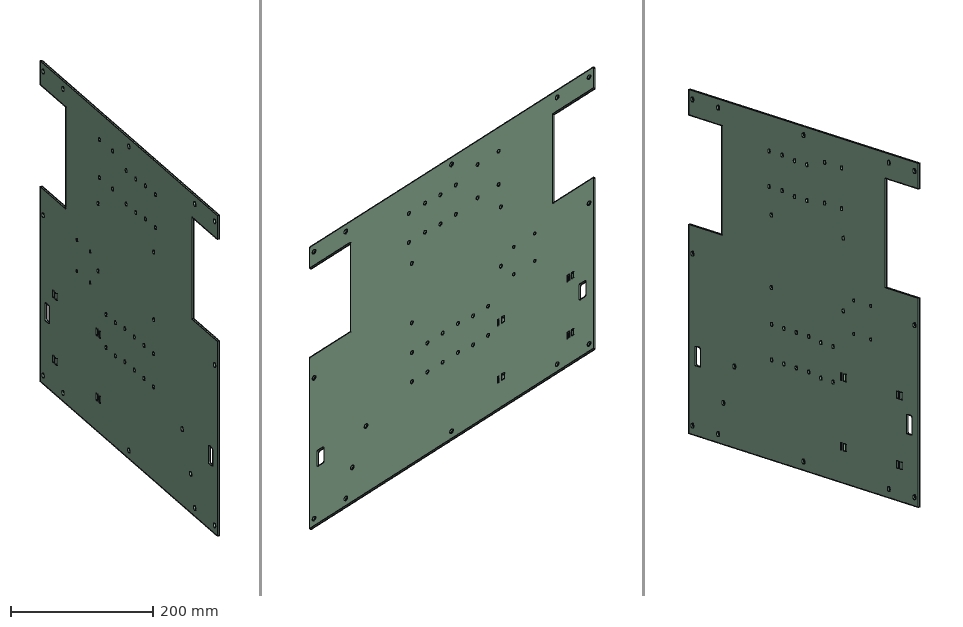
import cadquery as cq

width = 580.5
height = 495.0
thickness = 3.2

notch_depth = 83.5
notch_top = 210.5
notch_bottom = 53.5

large_hole = 7.0
medium_hole = 5.65
small_hole = 4.3

border_inset = 9.0
row_inset = 13.0
border_x = width / 2 - border_inset
row_z = height / 2 - row_inset
inner_border_x = 216.0
side_hole_z = 13.0

medium_patterns = [
    ([-96.5, -53.5], [147.0, 205.5]),
    ([-8.5, 22.5], [142.0, 194.0]),
    ([54.0, 87.0], [145.0, 196.0]),
    ([-101.0, 81.0], [0.5, 105.0]),
    ([-13.5, 18.0, 49.5, 80.5], [-103.5, -52.0]),
    ([-75.0, -44.0], [-107.0, -56.0]),
]
small_columns = [-170.0, -127.0]
small_rows = [-28.0, 20.5]

single_hole_points = [(174.5, -130.0), (202.5, -187.5)]

hand_slot_width = 14.0
hand_slot_height = 28.0
hand_slot_radius = 2.5
hand_slot_x = 267.5
hand_slot_z = -133.0

strap_slot_height = 10.5
strap_slot_levels = [-95.0, -195.5]
strap_slots = [(-247.0, 4.0), (-238.5, 6.0), (-105.0, 6.0), (-95.0, 3.0)]


def grid(columns, rows):
    """Every point where the given columns (x) and rows (z) cross."""
    return [(x, z) for x in columns for z in rows]


def on_plate(points):
    """Work plane of the plate with the given (x, z) points."""
    return cq.Workplane("XZ").pushPoints(points)


def holes(points, diameter):
    """Cutters for round through holes."""
    return on_plate(points).circle(diameter / 2).extrude(thickness, both=True)


def slots(points, slot_width, slot_height):
    """Cutters for rectangular through slots."""
    return on_plate(points).rect(slot_width, slot_height).extrude(thickness, both=True)


plate = cq.Workplane("XZ").rect(width, height).extrude(thickness / 2, both=True)
notch_x = (width - notch_depth) / 2
notch_z = (notch_top + notch_bottom) / 2
notch_points = [(-notch_x, notch_z), (notch_x, notch_z)]
plate = plate.cut(slots(notch_points, notch_depth, notch_top - notch_bottom))

border_points = grid([-border_x, -inner_border_x, 0, inner_border_x, border_x], [-row_z, row_z])
border_points += [(-border_x, side_hole_z), (border_x, side_hole_z)]
plate = plate.cut(holes(border_points, large_hole))

plate = plate.cut(holes(single_hole_points, large_hole))

for columns, rows in medium_patterns:
    plate = plate.cut(holes(grid(columns, rows), medium_hole))

plate = plate.cut(holes(grid(small_columns, small_rows), small_hole))

hand_slot_points = [(-hand_slot_x, hand_slot_z), (hand_slot_x, hand_slot_z)]
hand_slots = slots(hand_slot_points, hand_slot_width, hand_slot_height)
plate = plate.cut(hand_slots.edges("|Y").fillet(hand_slot_radius))

for slot_x, slot_width in strap_slots:
    plate = plate.cut(slots([(slot_x, z) for z in strap_slot_levels], slot_width, strap_slot_height))

result = plate